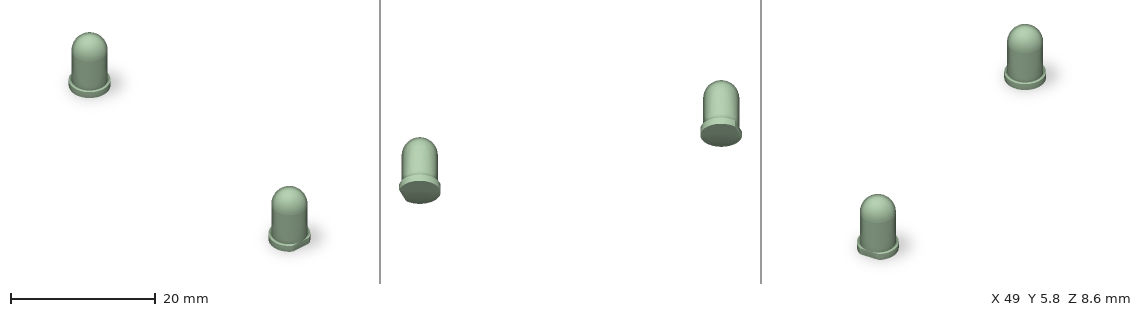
import cadquery as cq

overall_length = 49.0
overall_height = 8.6
lens_diameter = 5.0
flange_diameter = 5.8
flange_height = 1.05

lens_radius = lens_diameter / 2
flange_radius = flange_diameter / 2
dome_base_height = overall_height - lens_radius
lamp_offset = overall_length / 2 - lens_radius


def make_lens():
    """Cylinder standing on Z = 0, closed by a hemispherical dome."""
    barrel = cq.Workplane("XY").circle(lens_radius).extrude(dome_base_height)
    dome = (
        cq.Workplane("XZ")
        .moveTo(0, dome_base_height)
        .lineTo(lens_radius, dome_base_height)
        .radiusArc((0, overall_height), -lens_radius)
        .close()
        .revolve(360, (0, 0, 0), (0, 1, 0))
    )
    return barrel.union(dome)


def make_flange(side):
    """Base disc with a flat tangent to the lens on the given X side."""
    disc = cq.Workplane("XY").circle(flange_radius).extrude(flange_height)
    kept_length = lens_radius + flange_radius
    kept_block = (
        cq.Workplane("XY")
        .center(side * (lens_radius - kept_length / 2), 0)
        .rect(kept_length, flange_diameter)
        .extrude(flange_height)
    )
    return disc.intersect(kept_block)


def make_lamp(side):
    """One lamp body at the -X (side = -1) or +X (side = 1) end, flat facing outward."""
    lamp = make_flange(side).union(make_lens())
    return lamp.translate((side * lamp_offset, 0, 0))


lamps = [make_lamp(side) for side in (-1, 1)]

result = cq.Compound.makeCompound([lamp.solids().val() for lamp in lamps])